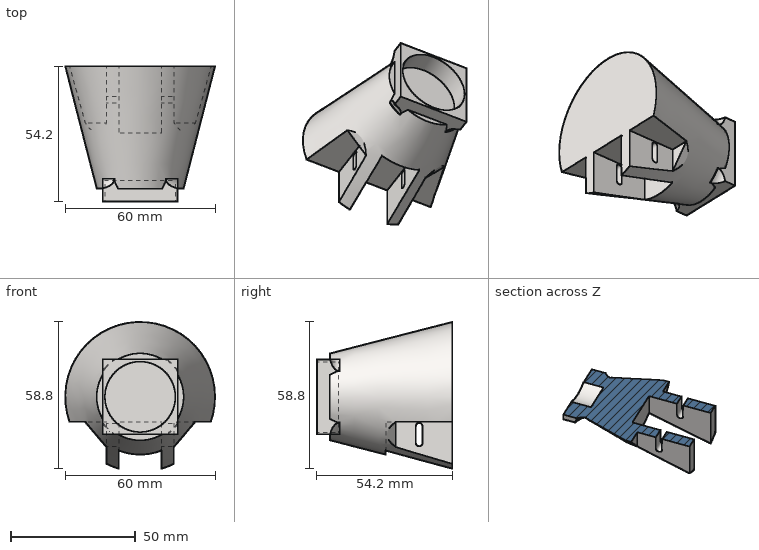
import cadquery as cq
import math


rim_radius = 30.0
nose_radius = 17.4
cone_length = 49.0

socket_size = 30.0
socket_protrusion = 5.2
socket_overlap = 4.0
socket_bore_diameter = 28.2
socket_bore_depth = 8.5
corner_relief_radius = 4.0
corner_relief_root_radius = 18.15

leg_top_z = -10.0
leg_outer_half_width = 13.5
leg_inner_half_width = 8.5
leg_pocket_length = 22.6
channel_length = 26.7

slot_width = 2.6
slot_length = 9.2
slot_center_y = -13.3
slot_center_z = -15.1

nose_y = -cone_length
front_y = nose_y - socket_protrusion
socket_back_y = nose_y + socket_overlap
clearance = 2 * rim_radius


def cone_radius_at(y):
    """Outer radius of the cone at position y along its axis."""
    return rim_radius + (rim_radius - nose_radius) * y / cone_length


def make_cone():
    return (
        cq.Workplane("XY")
        .moveTo(0, 0)
        .lineTo(rim_radius, 0)
        .lineTo(nose_radius, nose_y)
        .lineTo(0, nose_y)
        .close()
        .revolve(360, (0, 0, 0), (0, 1, 0))
    )


def make_socket_block():
    """Square block that carries the bore and overlaps the cone nose."""
    return (
        cq.Workplane("XZ", origin=(0, socket_back_y, 0))
        .rect(socket_size, socket_size)
        .extrude(socket_protrusion + socket_overlap)
    )


def make_corner_relief():
    """Concave ring, confined to the block, that hollows its four rear corners."""
    diagonal = corner_relief_radius * math.sqrt(0.5)
    ring_center_radius = corner_relief_root_radius + corner_relief_radius
    ring = (
        cq.Workplane("XY")
        .moveTo(corner_relief_root_radius, socket_back_y)
        .threePointArc(
            (ring_center_radius - diagonal, socket_back_y - diagonal),
            (ring_center_radius, socket_back_y - corner_relief_radius),
        )
        .lineTo(ring_center_radius, socket_back_y)
        .close()
        .revolve(360, (0, 0, 0), (0, 1, 0))
    )
    return ring.intersect(make_socket_block())


def make_socket_bore():
    return (
        cq.Workplane("XZ", origin=(0, front_y, 0))
        .circle(socket_bore_diameter / 2)
        .extrude(-socket_bore_depth)
    )


def make_side_pocket(side):
    """Clearance outside one leg; side is +1 for +X and -1 for -X."""
    pocket = (
        cq.Workplane("XZ")
        .moveTo(side * leg_outer_half_width, leg_top_z)
        .lineTo(side * clearance, leg_top_z)
        .lineTo(side * clearance, -clearance)
        .lineTo(side * leg_outer_half_width, -clearance)
        .close()
        .extrude(leg_pocket_length)
    )
    section_radius = cone_radius_at(-leg_pocket_length)
    bevel_start_x = math.sqrt(section_radius**2 - leg_top_z**2)
    bevel_end_z = -math.sqrt(section_radius**2 - leg_outer_half_width**2)
    bevel = (
        cq.Workplane("XZ")
        .moveTo(side * bevel_start_x, leg_top_z)
        .lineTo(side * clearance, leg_top_z)
        .lineTo(side * clearance, -clearance)
        .lineTo(side * leg_outer_half_width, -clearance)
        .lineTo(side * leg_outer_half_width, bevel_end_z)
        .close()
        .extrude(channel_length)
    )
    return pocket.union(bevel)


def make_channel():
    """Gap between the two legs, open to the back and below."""
    return (
        cq.Workplane("XY", origin=(0, -channel_length / 2, leg_top_z))
        .rect(2 * leg_inner_half_width, channel_length)
        .extrude(-clearance)
    )


def make_bolt_slot():
    return (
        cq.Workplane("YZ")
        .center(slot_center_y, slot_center_z)
        .slot2D(slot_length, slot_width, 90)
        .extrude(clearance, both=True)
    )


body = make_cone().union(make_socket_block())
body = body.cut(make_corner_relief())
body = body.cut(make_socket_bore())
for side in (-1, 1):
    body = body.cut(make_side_pocket(side))
body = body.cut(make_channel())
result = body.cut(make_bolt_slot())